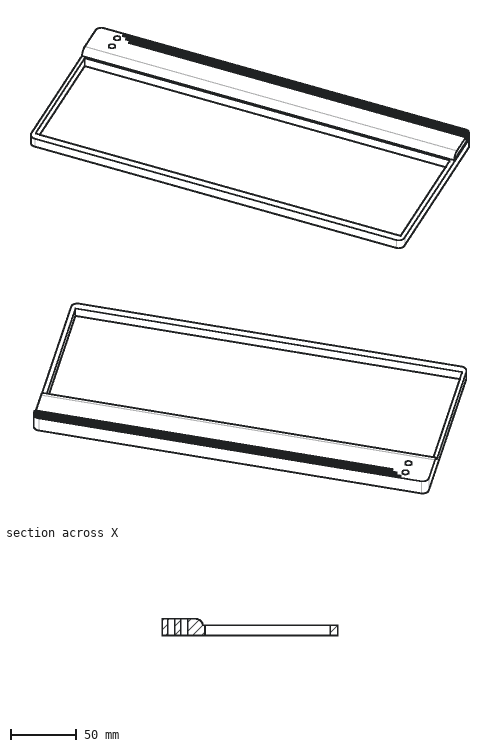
import cadquery as cq

length = 310.0
depth = 134.2
height = 13.0
corner_radius = 5.0

frame_height = 8.0
left_wall = 3.0
right_wall = 3.7
front_wall = 6.0
rear_band = 33.0

bar_depth = 31.3
bar_front_radius = 6.0
end_relief = 1.0

hole_diameter = 5.0
hole_from_left = 19.0
hole_from_rear = 6.8
hole_pitch = 10.2

groove_count = 3
groove_width = 1.0
groove_depth = 0.45
groove_pitch = 2.8
first_groove_from_rear = 1.5
first_groove_start = 21.7
groove_stagger = 3.7

full_length_strip = first_groove_from_rear + (groove_count - 1) * groove_pitch


def make_frame():
    """Rounded plate with a rectangular window."""
    plate = cq.Workplane("XY").box(length, depth, frame_height, centered=False)
    plate = plate.edges("|Z").fillet(corner_radius)
    window = (
        cq.Workplane("XY")
        .box(
            length - left_wall - right_wall,
            depth - front_wall - rear_band,
            frame_height,
            centered=False,
        )
        .translate((left_wall, front_wall, 0))
    )
    return plate.cut(window)


def make_bar():
    """Raised bar along the rear, with a rounded front edge and a relieved right end."""
    bar = (
        cq.Workplane("XY")
        .box(length, bar_depth, height, centered=False)
        .translate((0, depth - bar_depth, 0))
    )
    bar = bar.edges("|Z and >Y").fillet(corner_radius)
    bar = bar.edges("|X and >Z and <Y").fillet(bar_front_radius)
    relief = (
        cq.Workplane("XY")
        .box(end_relief, bar_depth - full_length_strip, height - frame_height, centered=False)
        .translate((length - end_relief, depth - bar_depth, frame_height))
    )
    return bar.cut(relief)


def make_holes():
    """Through holes, one behind the other."""
    rear_hole_y = depth - hole_from_rear
    return (
        cq.Workplane("XY")
        .pushPoints([(hole_from_left, rear_hole_y), (hole_from_left, rear_hole_y - hole_pitch)])
        .circle(hole_diameter / 2)
        .extrude(height)
    )


def make_groove(index):
    """Shallow groove running from its staggered start out through the right end."""
    start = first_groove_start + index * groove_stagger
    rear_side = depth - first_groove_from_rear - index * groove_pitch
    return (
        cq.Workplane("XY")
        .box(length - start, groove_width, groove_depth, centered=False)
        .translate((start, rear_side - groove_width, height - groove_depth))
    )


result = make_frame().union(make_bar()).cut(make_holes())
for groove_index in range(groove_count):
    result = result.cut(make_groove(groove_index))